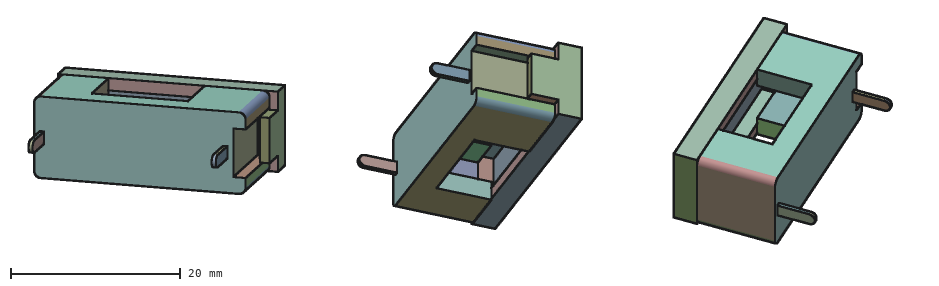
import cadquery as cq

BASE_LENGTH = 26.0
BASE_DEPTH = 10.0
HEIGHT = 10.0
EDGE_RADIUS = 0.85
MID_HEIGHT = HEIGHT / 2

WINDOW_LEFT = 6.2
WINDOW_RIGHT = 18.0
FRONT_WALL = 3.0
SKIN = 2.48
CAVITY_LEFT = 2.0
CAVITY_RIGHT = 24.0

SLOT_LEFT = 24.5
SLOT_HEIGHT = 5.95

PIN_THICKNESS = 0.5
PIN_WIDTH = 1.5
PIN_LENGTH = 4.8
PIN_LEFT_SIDES = (0.73, 23.25)

COVER_LENGTH = 27.0
COVER_THICKNESS = 3.0
COVER_BOTTOM = 0.15
COVER_RIM = 1.5
RECESS_DEPTH = 2.0
CLIP_BOTTOM = 2.13
CLIP_TOP = 7.7
CLIP_REACH = 3.43
CLIP_ROOT_LEFT = 24.73
CLIP_TIP_LEFT = 25.85

VENT_LEFT = 25.27
VENT_WIDTH = 0.2
VENT_HEIGHT = 0.2

SLOT_BOTTOM = MID_HEIGHT - SLOT_HEIGHT / 2
SLOT_TOP = MID_HEIGHT + SLOT_HEIGHT / 2


def block(x_range, y_range, z_range):
    """Box between two limits along each axis."""
    low = [limits[0] for limits in (x_range, y_range, z_range)]
    size = [limits[1] - limits[0] for limits in (x_range, y_range, z_range)]
    return cq.Workplane("XY").box(*size, centered=False).translate(tuple(low))


def make_pin(left):
    """Flat terminal with a fully rounded tip, pointing toward -Y."""
    half_width = PIN_WIDTH / 2
    round_start = half_width - PIN_LENGTH
    return (
        cq.Workplane("YZ", origin=(left, 0, MID_HEIGHT))
        .moveTo(0, half_width)
        .lineTo(round_start, half_width)
        .threePointArc((-PIN_LENGTH, 0), (round_start, -half_width))
        .lineTo(0, -half_width)
        .close()
        .extrude(PIN_THICKNESS)
    )


def make_base():
    """Hollow base, with its pins formed in one piece with it."""
    base = block((0, BASE_LENGTH), (0, BASE_DEPTH), (0, HEIGHT)).edges("|Y").fillet(EDGE_RADIUS)
    opening_depth = (FRONT_WALL, BASE_DEPTH)
    window = block((WINDOW_LEFT, WINDOW_RIGHT), opening_depth, (0, HEIGHT))
    cavity = block((CAVITY_LEFT, CAVITY_RIGHT), opening_depth, (SKIN, HEIGHT - SKIN))
    slot = block((SLOT_LEFT, BASE_LENGTH), (0, BASE_DEPTH), (SLOT_BOTTOM, SLOT_TOP))
    base = base.cut(window).cut(cavity).cut(slot)
    for left in PIN_LEFT_SIDES:
        base = base.union(make_pin(left))
    return base


def make_clip():
    """Clip that tapers on its inner side toward the tip."""
    tip_y = BASE_DEPTH - CLIP_REACH
    return (
        cq.Workplane("XY", origin=(0, 0, CLIP_BOTTOM))
        .moveTo(CLIP_ROOT_LEFT, BASE_DEPTH)
        .lineTo(CLIP_TIP_LEFT, tip_y)
        .lineTo(COVER_LENGTH, tip_y)
        .lineTo(COVER_LENGTH, BASE_DEPTH)
        .close()
        .extrude(CLIP_TOP - CLIP_BOTTOM)
    )


def make_cover():
    """Cover plate with its recess, vent and clip."""
    plate_depth = (BASE_DEPTH, BASE_DEPTH + COVER_THICKNESS)
    plate = block((0, COVER_LENGTH), plate_depth, (COVER_BOTTOM, HEIGHT))
    recess = block(
        (CAVITY_LEFT, CAVITY_RIGHT),
        (BASE_DEPTH, BASE_DEPTH + RECESS_DEPTH),
        (COVER_BOTTOM + COVER_RIM, HEIGHT - COVER_RIM),
    )
    vent = block((VENT_LEFT, VENT_LEFT + VENT_WIDTH), plate_depth, (CLIP_TOP, CLIP_TOP + VENT_HEIGHT))
    return plate.cut(recess).cut(vent).union(make_clip())


base = make_base()
cover = make_cover()
result = cq.Compound.makeCompound([base.val(), cover.val()])